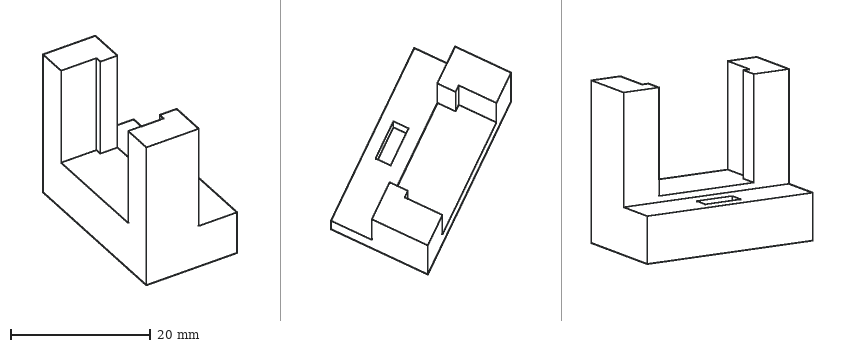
import cadquery as cq

width = 27.88
depth = 15.4
height = 24.0

frame_depth = 8.9
ledge_height = 7.08

floor_height = 8.0
post_width = 4.9
lip_width = 1.05
lip_front = 6.0

pocket_width = 6.0
pocket_length = 2.4
pocket_back_margin = 1.9
pocket_sink = 5.0


def box(x_size, y_start, y_end, z_start, z_end):
    """Box centred on X, spanning the given Y and Z ranges."""
    return (
        cq.Workplane("XY")
        .box(x_size, y_end - y_start, z_end - z_start, centered=(True, False, False))
        .translate((0, y_start, z_start))
    )


frame = box(width, 0, frame_depth, 0, height)
ledge = box(width, 0, depth, 0, ledge_height)
body = frame.union(ledge)

wide_opening = width - 2 * post_width
narrow_opening = wide_opening - 2 * lip_width
body = body.cut(box(wide_opening, 0, lip_front, floor_height, height))
body = body.cut(box(narrow_opening, lip_front, frame_depth, floor_height, height))

pocket_end = depth - pocket_back_margin
pocket_start = pocket_end - pocket_length
pocket_floor = ledge_height - pocket_sink
result = body.cut(box(pocket_width, pocket_start, pocket_end, pocket_floor, ledge_height))